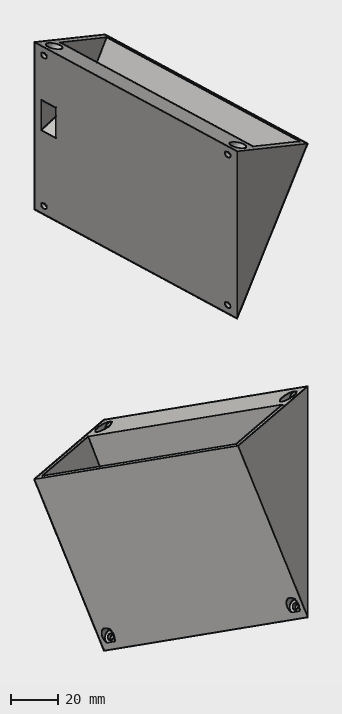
import cadquery as cq
import math

width = 107.5
depth = 49.1
height = 100.0
apex_height = 65.4

side_wall = 2.6
rear_rim = 2.2
front_rim = 14.5
pocket_depth = 22.3

window_left = 3.7
window_width = 7.7
window_bottom = 49.6
window_height = 18.1

hole_inset = 5.0
hole_diameter = 3.0
counterbore_diameter = 6.0
counterbore_floor = 2.0

top_angle = math.atan2(height - apex_height, depth)


def top_height(y):
    """Height of the sloped top face at distance y from the front face."""
    return height - y * math.tan(top_angle)


def prism(outline, x_start, length):
    """Extrude a closed (y, z) outline along X."""
    return cq.Workplane("YZ").workplane(offset=x_start).polyline(outline).close().extrude(length)


def sloped_pocket():
    """Pocket with walls square to the top face, opened past that face."""
    inward_y = -math.sin(top_angle)
    inward_z = -math.cos(top_angle)
    rim = [(y, top_height(y)) for y in (front_rim, depth - rear_rim)]
    clearance = 1.1

    def along_wall(point, distance):
        return (point[0] + distance * inward_y, point[1] + distance * inward_z)

    outline = [
        along_wall(rim[0], -clearance),
        along_wall(rim[1], -clearance),
        along_wall(rim[1], pocket_depth),
        along_wall(rim[0], pocket_depth),
    ]
    return prism(outline, side_wall, width - 2 * side_wall)


def window():
    """Level slot ending at the pocket floor, so the rear wall stays whole."""
    floor_drop = pocket_depth / math.cos(top_angle)
    end_y = (height - floor_drop - window_bottom) / math.tan(top_angle)
    top_end_y = end_y - window_height / math.tan(top_angle)
    window_top = window_bottom + window_height
    outline = [(0, window_bottom), (end_y, window_bottom), (top_end_y, window_top), (0, window_top)]
    return prism(outline, window_left, window_width)


def rearward_cylinder(x, y, z, diameter):
    """Cylinder from y running out of the back of the body."""
    return cq.Workplane("XZ", origin=(x, y, z)).circle(diameter / 2).extrude(-depth)


result = prism([(0, 0), (depth, apex_height), (0, height)], 0, width)
result = result.cut(sloped_pocket()).cut(window())

for hole_x in (hole_inset, width - hole_inset):
    for hole_z in (hole_inset, height - hole_inset):
        result = result.cut(rearward_cylinder(hole_x, 0, hole_z, hole_diameter))
        result = result.cut(rearward_cylinder(hole_x, counterbore_floor, hole_z, counterbore_diameter))